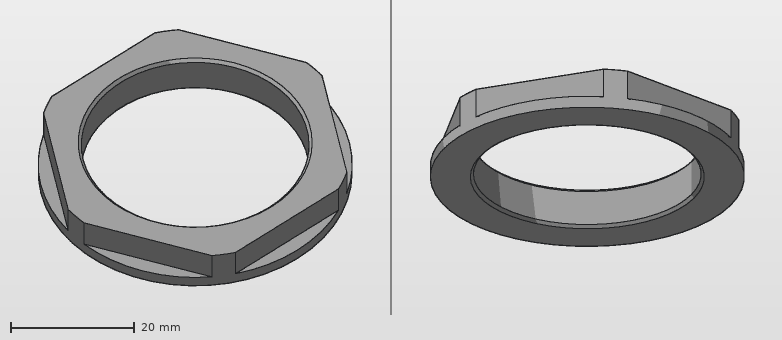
import cadquery as cq
import math

outer_diameter = 51.0
total_height = 7.0
flange_height = 2.0
across_flats = 46.0
bore_diameter = 37.0
bore_chamfer = 0.5

across_corners = across_flats / math.cos(math.pi / 6)


def round_blank():
    """Full-height disc that sets the flange and the rounded hex corners."""
    return cq.Workplane("XY").circle(outer_diameter / 2).extrude(total_height)


def flange():
    """Round collar at the base of the nut."""
    return cq.Workplane("XY").circle(outer_diameter / 2).extrude(flange_height)


def hexagon():
    """Hexagonal prism with two flats facing along X."""
    return (
        cq.Workplane("XY")
        .transformed(rotate=(0, 0, 30))
        .polygon(6, across_corners)
        .extrude(total_height)
    )


def bore():
    """Through bore, widened by a 45 degree chamfer at both ends."""
    radius = bore_diameter / 2
    mouth_radius = radius + bore_chamfer
    return (
        cq.Workplane("XZ")
        .moveTo(0, 0)
        .lineTo(mouth_radius, 0)
        .lineTo(radius, bore_chamfer)
        .lineTo(radius, total_height - bore_chamfer)
        .lineTo(mouth_radius, total_height)
        .lineTo(0, total_height)
        .close()
        .revolve(360, (0, 0, 0), (0, 1, 0))
    )


result = hexagon().intersect(round_blank()).union(flange()).cut(bore())